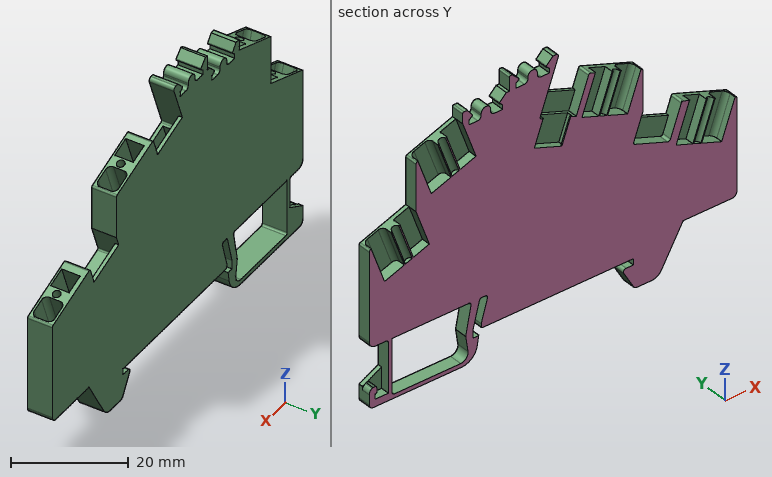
import cadquery as cq
import math

length = 80.0
width = 5.0
height = 56.0

tilt = math.radians(20.0)
slope = math.tan(tilt)

step_run = 10.15
left_shoulder_bottom = 33.0
left_shoulder_pitch = 13.8
clip_start = 2 * step_run
edge_round = 0.4

clip_height = 3.15
upper_seat = height - clip_height
lower_seat = upper_seat - clip_height
jaw_thickness = 1.5
jaw_tip_reach = 0.8
jaw_tip_height = 1.55
jaw_throat_height = 0.9
left_jaw_tops = (1.1, 0.65)
jaw_top_round = 0.3
jaw_tip_round = 0.2
jaw_gap = 7.2
right_jaw_lead = 1.6
upper_jaw_round = 0.6
post_offset = 5.1
post_width = 2.15
post_height = 2.2
post_root_round = 0.75

right_shoulder_edge = 30.1
right_pitch_x = 20.45
right_pitch_z = 14.65
upper_shoulder_run = 11.75
lower_shoulder_run = 12.05
upper_recess_wall = 8.2
lower_recess_wall = 7.75
recess_floor = 8.35
recess_left_round = 0.3
recess_right_round = 0.5
web_height = 4.0
web_thickness = 0.72
web_sink = 0.5

opening_depth = 8.5
wire_start = 0.53
wire_length = 4.5
wire_width = 4.1
wire_round = 1.0
wire_y = 2.5
test_hole_diameter = 1.5
test_hole_distance = 6.1
release_start = 7.2
release_length = 3.75
release_width = 3.7
release_y = 2.25

floor_pocket_margin = 0.8
floor_pocket_width = 2.9
floor_pocket_depth = 5.6
floor_pocket_y = 2.18
rib_thickness = 0.6
rib_reach = 0.5

left_base = 12.56
left_base_round = 1.4
right_base = 9.43
right_base_round = 1.1
rail_seat = 6.26
lip_top = 5.06

hook_flank = math.tan(math.radians(60.0))
hook_neck_x = 57.4
hook_tip_x = 54.8
hook_back_x = 68.3
hook_tip_round = 0.6
hook_toe_round = 1.0
hook_heel_round = 2.5

foot_window_left = 5.06
foot_window_right = 21.73
foot_waist = (20.96, 6.1)
foot_window_top_right = 22.2
foot_window_round = 1.6
foot_floor = 0.95
foot_toe_x = 23.1
foot_lip_x = 23.9
foot_outer_round = 3.6
foot_corner_round = 1.0
small_round = 0.4
slot_left = 22.68
slot_right = 24.34
slot_left_bend = 6.87
slot_right_bend = 7.3
slot_top_left = 24.15
slot_top_right = 25.85

leg_left = 4.15
catch_edge = 3.86
catch_top = 6.1
catch_round = 1.2
catch_web = 0.95
catch_floor = 1.66
catch_throat_x = 1.4
catch_nose_x = 1.75
catch_throat_top = 2.6
catch_nose_bottom = 2.8
catch_nose_top = 4.3
catch_nose_round = 0.6
catch_mouth_x = 0.8


def along(point, distance, angle):
    """Point reached from another in the XZ plane by a distance and direction."""
    return (point[0] + distance * math.cos(angle), point[1] + distance * math.sin(angle))


def toward(start, end, distance):
    """Point a given distance from start on the line to end."""
    return along(start, distance, math.atan2(end[1] - start[1], end[0] - start[0]))


def plate(corners, thickness=width, start_y=0.0):
    """Extrude an XZ polygon along +Y; a corner (x, z, r) is rounded with radius r."""
    arcs = []
    for index, corner in enumerate(corners):
        here = corner[:2]
        before = corners[index - 1][:2]
        after = corners[(index + 1) % len(corners)][:2]
        if len(corner) == 2:
            arcs.append((here, None, here))
            continue
        radius = corner[2]
        angle_before = math.atan2(before[1] - here[1], before[0] - here[0])
        angle_after = math.atan2(after[1] - here[1], after[0] - here[0])
        half = abs(math.remainder(angle_after - angle_before, math.tau)) / 2
        tangent_length = radius / math.tan(half)
        entry = toward(here, before, tangent_length)
        leave = toward(here, after, tangent_length)
        chord_middle = ((entry[0] + leave[0]) / 2, (entry[1] + leave[1]) / 2)
        middle = toward(here, chord_middle, radius / math.sin(half) - radius)
        arcs.append((entry, middle, leave))
    sketch = cq.Workplane("XZ", origin=(0, start_y, 0)).moveTo(*arcs[0][2])
    for entry, middle, leave in arcs[1:] + arcs[:1]:
        sketch = sketch.lineTo(*entry)
        if middle is not None:
            sketch = sketch.threePointArc(middle, leave)
    return sketch.wire().extrude(-thickness)


wall_angle = math.pi / 2 - tilt
lower_edge = (length, right_shoulder_edge)
upper_edge = (length - right_pitch_x, right_shoulder_edge + right_pitch_z)


def right_shoulder_corners(edge, shoulder_run, recess_wall):
    """Shoulder crest, recess floor right end and recess floor left end."""
    crest = (edge[0] - shoulder_run, edge[1] + shoulder_run * slope)
    floor_right = along(crest, recess_wall, wall_angle + math.pi)
    floor_left = along(floor_right, recess_floor, math.pi - tilt)
    return crest, floor_right, floor_left


upper_corners = right_shoulder_corners(upper_edge, upper_shoulder_run, upper_recess_wall)
lower_corners = right_shoulder_corners(lower_edge, lower_shoulder_run, lower_recess_wall)


def make_body():
    upper_crest, upper_right, upper_left = upper_corners
    lower_crest, lower_right, lower_left = lower_corners
    upper_shoulder = left_shoulder_bottom + left_shoulder_pitch
    seat_end = upper_left[0] + (upper_seat - upper_left[1]) * slope
    recess_bend = lower_left[1] + (upper_edge[0] - lower_left[0]) / slope
    return plate([
        (0, left_base, left_base_round),
        (0, left_shoulder_bottom, edge_round),
        (step_run, left_shoulder_bottom + step_run * slope),
        (step_run, upper_shoulder, edge_round),
        (clip_start, upper_shoulder + step_run * slope),
        (clip_start, lower_seat),
        (clip_start + step_run, lower_seat),
        (clip_start + step_run, upper_seat),
        (seat_end, upper_seat),
        (*upper_left, recess_left_round),
        upper_right,
        (*upper_crest, edge_round),
        (*upper_edge, edge_round),
        (upper_edge[0], recess_bend),
        (*lower_left, recess_left_round),
        (*lower_right, recess_right_round),
        (*lower_crest, edge_round),
        (*lower_edge, edge_round),
        (length, right_base, right_base_round),
        (hook_back_x, right_base),
        (hook_back_x - right_base / hook_flank, 0, hook_heel_round),
        (hook_tip_x + lip_top / hook_flank, 0, hook_toe_round),
        (hook_tip_x, lip_top, hook_tip_round),
        (hook_neck_x, lip_top),
        (hook_neck_x, rail_seat),
        (slot_right, rail_seat, small_round),
        (slot_right, slot_right_bend),
        (slot_top_right, left_base, small_round),
        (slot_top_left, left_base, small_round),
        (slot_left, slot_left_bend),
        (slot_left, lip_top),
        (foot_lip_x, lip_top),
        (foot_toe_x, 0, foot_outer_round),
        (0, 0, foot_corner_round),
        (0, catch_edge, catch_round),
        (leg_left, catch_top),
        (leg_left, left_base, small_round),
    ])


def make_foot_window():
    return plate([
        (foot_window_left, left_base),
        (foot_window_left, foot_floor, small_round),
        (foot_window_right, foot_floor, foot_window_round),
        foot_waist,
        (foot_window_top_right, left_base, small_round),
    ])


def make_catch_slot():
    """Opening between the hook of the release catch and the leg."""
    return plate([
        (leg_left, catch_floor),
        (catch_throat_x, catch_floor),
        (catch_throat_x, catch_throat_top),
        (catch_nose_x, catch_nose_bottom),
        (catch_nose_x, catch_nose_top, catch_nose_round),
        (catch_mouth_x, catch_nose_top),
        (catch_mouth_x, catch_top),
        (leg_left, catch_top),
    ])


def make_catch_web():
    """Thin wall closing the +Y side of the release catch."""
    return plate([
        (0, catch_floor),
        (0, catch_edge),
        (leg_left, catch_top),
        (leg_left, catch_floor),
    ], catch_web, width - catch_web)


def make_left_jaw(x, seat, top_width):
    throat_x = x + jaw_thickness
    return plate([
        (x, seat),
        (x, seat + clip_height, jaw_top_round),
        (x + top_width, seat + clip_height),
        (throat_x + jaw_tip_reach, seat + jaw_tip_height, jaw_tip_round),
        (throat_x, seat + jaw_throat_height),
        (throat_x, seat),
    ])


def make_post(x, seat):
    """Round-topped centre post with rounded roots, sunk a little into the seat."""
    left = x + post_offset - post_width / 2
    right = left + post_width
    crown_radius = post_width / 2
    crown_z = seat + post_height - crown_radius
    root = 2 * post_root_round
    shank = plate([
        (left - root, seat - root),
        (left - root, seat),
        (left, seat, post_root_round),
        (left, crown_z),
        (right, crown_z),
        (right, seat, post_root_round),
        (right + root, seat),
        (right + root, seat - root),
    ])
    crown = cq.Workplane("XZ").center(x + post_offset, crown_z).circle(crown_radius).extrude(-width)
    return shank.union(crown)


def make_right_jaw(x, seat, back_corners):
    """Jaw facing left; back_corners close its outline from the top to the seat."""
    throat_x = x + jaw_thickness + jaw_gap
    tip_x = throat_x - jaw_tip_reach
    return plate([
        (throat_x, seat),
        (throat_x, seat + jaw_throat_height),
        (tip_x, seat + jaw_tip_height, jaw_tip_round),
        (tip_x + right_jaw_lead, seat + clip_height),
        *back_corners,
    ])


def make_clips():
    upper_start = clip_start + step_run
    wall_foot = upper_corners[2]
    wall_x_at_seat = wall_foot[0] + (upper_seat - wall_foot[1]) * slope
    wall_x_at_top = wall_foot[0] + (height - wall_foot[1]) * slope
    lower_back = [(upper_start, upper_seat), (upper_start, lower_seat)]
    upper_back = [(wall_x_at_top, height, upper_jaw_round), (wall_x_at_seat, upper_seat)]
    starts = (clip_start, upper_start)
    seats = (lower_seat, upper_seat)
    backs = (lower_back, upper_back)
    clips = cq.Workplane("XZ")
    for x, seat, top_width, back in zip(starts, seats, left_jaw_tops, backs):
        clips = clips.add(make_left_jaw(x, seat, top_width))
        clips = clips.add(make_post(x, seat))
        clips = clips.add(make_right_jaw(x, seat, back))
    return clips.combine()


def make_recess_web(corners):
    """Thin wall closing the +Y side of a tool recess above its floor."""
    _, floor_right, floor_left = corners
    floor_angle = wall_angle + math.pi
    return plate([
        along(floor_left, web_sink, floor_angle),
        along(floor_left, web_height, wall_angle),
        along(floor_right, web_height, wall_angle),
        along(floor_right, web_sink, floor_angle),
    ], web_thickness, width - web_thickness)


def make_terminal_openings(edge, side, release_end):
    """Wire entry, test hole and release slot sunk square to a shoulder.

    side is +1 for a shoulder rising towards +X and -1 for one rising towards -X.
    """
    inward = (side * math.cos(tilt), 0, math.sin(tilt))
    outward_normal = (-side * math.sin(tilt), 0, math.cos(tilt))
    shoulder = cq.Workplane(cq.Plane((edge[0], 0, edge[1]), inward, outward_normal))
    wire_entry = (
        shoulder.center(wire_start + wire_length / 2, side * wire_y)
        .rect(wire_length, wire_width)
        .extrude(-opening_depth)
        .edges(cq.selectors.ParallelDirSelector(cq.Vector(*outward_normal)))
        .fillet(wire_round)
    )
    test_hole = (
        shoulder.center(test_hole_distance, side * release_y)
        .circle(test_hole_diameter / 2)
        .extrude(-opening_depth)
    )
    release_slot = (
        shoulder.center((release_start + release_end) / 2, side * release_y)
        .rect(release_end - release_start, release_width)
        .extrude(-opening_depth)
    )
    return wire_entry.union(test_hole).union(release_slot)


def make_floor_pocket():
    """Pocket in the upper recess floor with a guide rib on its right wall."""
    floor_right = upper_corners[1]
    floor = cq.Workplane(cq.Plane(
        (floor_right[0], 0, floor_right[1]),
        (math.cos(tilt), 0, -math.sin(tilt)),
        (math.sin(tilt), 0, math.cos(tilt)),
    ))
    pocket = (
        floor.center(-recess_floor / 2, floor_pocket_y)
        .rect(recess_floor - 2 * floor_pocket_margin, floor_pocket_width)
        .extrude(-floor_pocket_depth)
    )
    rib = (
        floor.center(-floor_pocket_margin - rib_reach / 2, floor_pocket_y)
        .rect(rib_reach, rib_thickness)
        .extrude(-floor_pocket_depth)
    )
    return pocket.cut(rib)


result = make_body().cut(make_foot_window()).cut(make_catch_slot())
result = result.union(make_catch_web()).union(make_clips())

for shoulder_edge, corners in ((upper_edge, upper_corners), (lower_edge, lower_corners)):
    result = result.union(make_recess_web(corners))
    result = result.cut(make_terminal_openings(shoulder_edge, -1, release_start + release_length))

left_shoulder_length = step_run / math.cos(tilt)
for step in range(2):
    left_edge = (step * step_run, left_shoulder_bottom + step * left_shoulder_pitch)
    result = result.cut(make_terminal_openings(left_edge, 1, left_shoulder_length))

result = result.cut(make_floor_pocket())